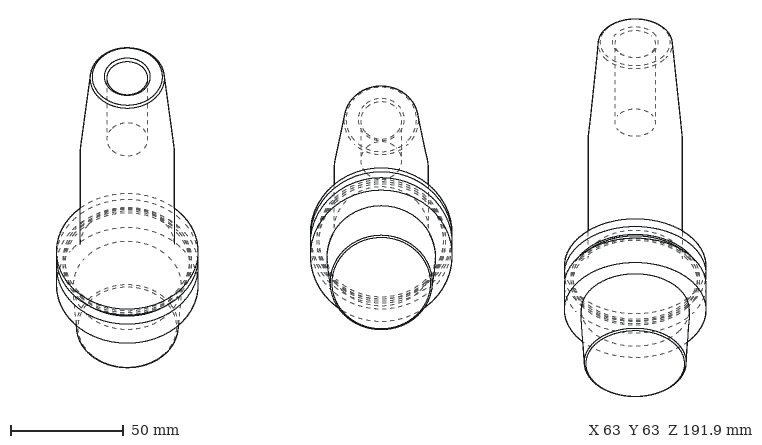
import cadquery as cq

total_height = 191.9
shank_length = 32.0
flange_height = 26.1
flange_top = shank_length + flange_height

shank_end_radius = 22.6
shank_top_radius = 24.2
shank_end_chamfer = 0.8
neck_radius = 24.0
neck_height = 2.3
neck_slope_height = 1.2
neck_bottom = shank_length - neck_height

flange_radius = 31.5
groove_radius = 27.6
groove_ledge_radius = 28.5
groove_lower_edge = 46.6
groove_upper_edge = 53.5
groove_side_height = 2.1
groove_floor_bottom = groove_lower_edge + groove_side_height
groove_floor_top = groove_upper_edge - groove_side_height

body_radius = 21.0
root_fillet = 4.8
nose_start = 135.0
nose_tip_radius = 16.5
nose_chamfer = 1.0

bore_radius = 9.0
bore_chamfer = 1.2
bore_depth = 48.0


def make_holder():
    """Revolve the outer half-profile about the Z axis."""
    fillet_corner = (body_radius + root_fillet, flange_top)
    return (
        cq.Workplane("XZ")
        .moveTo(0, 0)
        .lineTo(shank_end_radius - shank_end_chamfer, 0)
        .lineTo(shank_end_radius, shank_end_chamfer)
        .lineTo(shank_top_radius, neck_bottom)
        .lineTo(neck_radius, neck_bottom + neck_slope_height)
        .lineTo(neck_radius, shank_length)
        .lineTo(flange_radius, shank_length)
        .lineTo(flange_radius, groove_lower_edge)
        .lineTo(groove_ledge_radius, groove_floor_bottom)
        .lineTo(groove_radius, groove_floor_bottom)
        .lineTo(groove_radius, groove_floor_top)
        .lineTo(groove_ledge_radius, groove_floor_top)
        .lineTo(flange_radius, groove_upper_edge)
        .lineTo(flange_radius, flange_top)
        .lineTo(*fillet_corner)
        .radiusArc((body_radius, flange_top + root_fillet), root_fillet)
        .lineTo(body_radius, nose_start)
        .lineTo(nose_tip_radius, total_height - nose_chamfer)
        .lineTo(nose_tip_radius - nose_chamfer, total_height)
        .lineTo(0, total_height)
        .close()
        .revolve(360, (0, 0, 0), (0, 1, 0))
    )


def make_bore():
    """Blind bore with a chamfered mouth, opening at the nose."""
    return (
        cq.Workplane("XZ")
        .moveTo(0, total_height)
        .lineTo(bore_radius + bore_chamfer, total_height)
        .lineTo(bore_radius, total_height - bore_chamfer)
        .lineTo(bore_radius, total_height - bore_depth)
        .lineTo(0, total_height - bore_depth)
        .close()
        .revolve(360, (0, 0, 0), (0, 1, 0))
    )


result = make_holder().cut(make_bore())